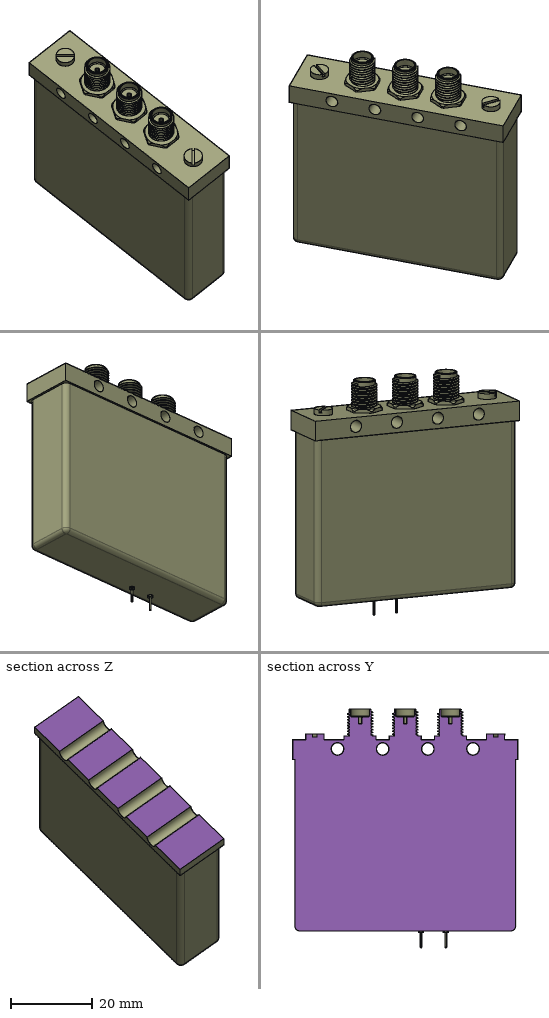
import cadquery as cq
import math

plate_length = 55.6
plate_width = 14.2
plate_height = 4.95
connector_pitch = 11.15

cross_hole_diameter = 3.0
cross_hole_height = 2.65

housing_length = 54.55
housing_width = 13.25
housing_height = 42.3
housing_side_radius = 1.4
housing_bottom_radius = 1.2

screw_diameter = 4.55
screw_height = 1.4
screw_slot_width = 0.7
screw_slot_depth = 0.75
screw_slot_angle = 45

nut_across_flats = 7.95
nut_corner_diameter = 8.9
nut_top_diameter = 8.15
nut_height = 0.95
nut_bevel_height = 0.55

barrel_height = 7.6
barrel_diameter = 5.4
barrel_rim_chamfer = 0.2
thread_diameter = 6.3
thread_pitch = 0.7
thread_bottom = 0.35
thread_top_gap = 0.55
thread_root_width = 0.65
thread_crest_width = 0.09
thread_root_overlap = 0.1

socket_diameter = 4.6
socket_depth = 1.75
socket_seat_diameter = 4.0
socket_seat_depth = 0.25
contact_diameter = 1.2
contact_bore_diameter = 0.7
contact_rise = 0.1
contact_bore_depth = 1.75

pin_collar_diameter = 1.3
pin_collar_height = 0.35
pin_diameter = 0.5
pin_length = 4.1
pin_tip_chamfer = 0.2
pin_first_x = -10.0
pin_spacing = 6.15
pin_y = -3.25

joint_overlap = 0.3


def cylinder(diameter, bottom, top):
    return cq.Workplane("XY").workplane(offset=bottom).circle(diameter / 2).extrude(top - bottom)


def make_plate():
    plate = cq.Workplane("XY").box(plate_length, plate_width, plate_height, centered=(True, True, False))
    hole_places = [((i - 1.5) * connector_pitch, cross_hole_height) for i in range(4)]
    holes = (
        cq.Workplane("XZ")
        .pushPoints(hole_places)
        .circle(cross_hole_diameter / 2)
        .extrude(plate_width / 2, both=True)
    )
    return plate.cut(holes)


def make_housing():
    return (
        cq.Workplane("XY")
        .rect(housing_length, housing_width)
        .extrude(-housing_height)
        .edges("|Z")
        .fillet(housing_side_radius)
        .faces("<Z")
        .edges()
        .fillet(housing_bottom_radius)
    )


def make_screw_head(slot_angle):
    """Slotted cheese head standing on z = 0."""
    slot = (
        cq.Workplane("XY")
        .workplane(offset=screw_height - screw_slot_depth)
        .rect(2 * screw_diameter, screw_slot_width)
        .extrude(2 * screw_slot_depth)
        .rotate((0, 0, 0), (0, 0, 1), slot_angle)
    )
    return cylinder(screw_diameter, -joint_overlap, screw_height).cut(slot)


def make_nut():
    """Hexagon with corners toward +Y and -Y, bevelled by a cone at the top."""
    across_corners = nut_across_flats / math.cos(math.pi / 6)
    hexagon = (
        cq.Workplane("XY")
        .workplane(offset=-joint_overlap)
        .polygon(6, across_corners)
        .extrude(nut_height + joint_overlap)
        .rotate((0, 0, 0), (0, 0, 1), 30)
    )
    bevel = (
        cq.Workplane("XZ")
        .moveTo(0, -joint_overlap)
        .lineTo(nut_corner_diameter / 2, -joint_overlap)
        .lineTo(nut_corner_diameter / 2, nut_height - nut_bevel_height)
        .lineTo(nut_top_diameter / 2, nut_height)
        .lineTo(0, nut_height)
        .close()
        .revolve(360, (0, 0, 0), (0, 1, 0))
    )
    return hexagon.intersect(bevel)


def make_thread():
    """Right-handed ridge that starts inside the nut and winds up the barrel."""
    root_radius = barrel_diameter / 2 - thread_root_overlap
    start = thread_bottom + thread_root_width / 2
    end = barrel_height - thread_top_gap - thread_root_width / 2
    helix = cq.Wire.makeHelix(thread_pitch, end - start, root_radius, center=cq.Vector(0, 0, start))
    return (
        cq.Workplane("XZ")
        .moveTo(root_radius, start - thread_root_width / 2)
        .lineTo(thread_diameter / 2, start - thread_crest_width / 2)
        .lineTo(thread_diameter / 2, start + thread_crest_width / 2)
        .lineTo(root_radius, start + thread_root_width / 2)
        .close()
        .sweep(cq.Workplane(helix), isFrenet=True)
    )


def make_socket():
    """Space inside the barrel around the centre contact."""
    seat_top = barrel_height - socket_depth
    seat_bottom = seat_top - socket_seat_depth
    space = (
        cq.Workplane("XZ")
        .moveTo(0, seat_bottom)
        .lineTo(socket_seat_diameter / 2, seat_bottom)
        .lineTo(socket_diameter / 2, seat_top)
        .lineTo(socket_diameter / 2, barrel_height)
        .lineTo(0, barrel_height)
        .close()
        .revolve(360, (0, 0, 0), (0, 1, 0))
    )
    contact_top = seat_bottom + contact_rise
    contact = cylinder(contact_diameter, seat_bottom, contact_top)
    bore = cylinder(contact_bore_diameter, contact_top - contact_bore_depth, contact_top)
    return space.cut(contact).union(bore)


def make_connector():
    barrel = cylinder(barrel_diameter, -joint_overlap, barrel_height)
    barrel = barrel.faces(">Z").chamfer(barrel_rim_chamfer)
    return barrel.union(make_thread()).union(make_nut()).cut(make_socket())


def make_pin():
    """Collared pin hanging from z = 0."""
    collar = cylinder(pin_collar_diameter, -pin_collar_height, joint_overlap)
    shank = cylinder(pin_diameter, -pin_length, 0).faces("<Z").chamfer(pin_tip_chamfer)
    return collar.union(shank)


result = make_plate().union(make_housing())

for side in (-1, 1):
    screw_head = make_screw_head(-side * screw_slot_angle)
    result = result.union(screw_head.translate((side * 2 * connector_pitch, 0, plate_height)))

connector = make_connector()
for step in (-1, 0, 1):
    result = result.union(connector.translate((step * connector_pitch, 0, plate_height)))

pin = make_pin()
for number in range(2):
    result = result.union(pin.translate((pin_first_x + number * pin_spacing, pin_y, -housing_height)))